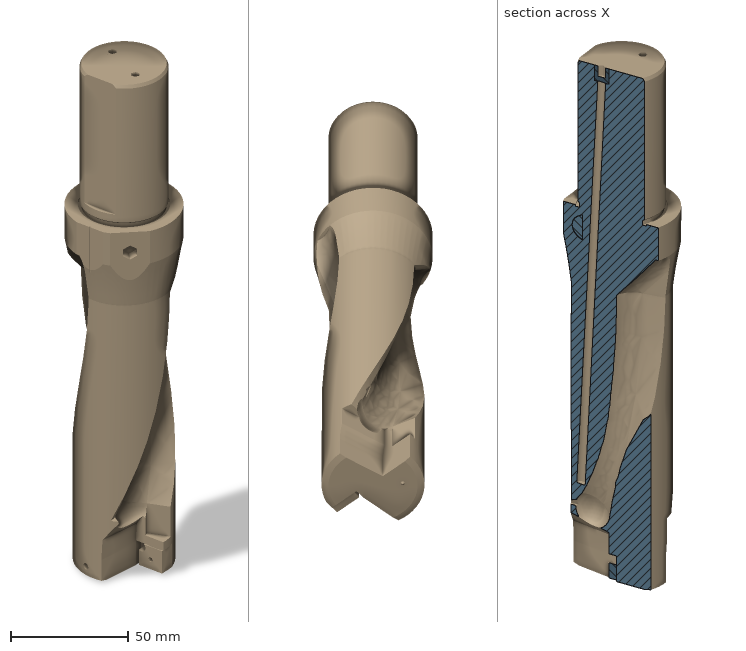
import cadquery as cq
import math

TOTAL_LENGTH = 246.5

SHANK_RADIUS = 19.0
SHANK_BOTTOM_Z = 178.7
SHANK_CHAMFER_WIDTH = 0.7
SHANK_CHAMFER_HEIGHT = 1.5
SHANK_FLAT_DISTANCE = 17.0
SHANK_FLAT_BOTTOM_Z = 182.5

NECK_RADIUS = 18.2
NECK_GROOVE_RADIUS = 19.7
NECK_GROOVE_DEPTH = 0.7

COLLAR_RADIUS = 25.5
COLLAR_TOP_Z = 176.8
COLLAR_BOTTOM_Z = 160.7
COLLAR_FRONT_FLAT_DISTANCE = 24.5
COLLAR_PLUG_FLAT_DISTANCE = 24.0
COLLAR_PLUG_ANGLE = -47.0
CONE_MID_RADIUS = 23.5

MARK_WIDTH = 0.5
MARK_DEPTH = 0.5
MARK_BOTTOM_Z = 154.0

BODY_RADIUS = 22.0
BODY_TOP_Z = 139.3
END_FACE_Z = 0.7
END_FACE_RADIUS = 19.0
END_RIM_Z = 1.5
PIP_X, PIP_Y = -10.5, -7.1
PIP_RADIUS = 1.0

FLUTE_TOP_Z = 138.5
FLUTE_FLOOR_EDGE_X = -18.2
FLUTE_WALL_X = -3.0
FLUTE_CORNER_Y = -11.3
FLUTE_CORNER_RADIUS = 10.4
FLUTE_RIM_Y = -1.5
FLUTE_WALL_RIM_X = -2.5
FLUTE_TWIST = 78.0
FLUTE_TWIST_POWER = 1.7
FLUTE_BALL_Z = 32.0
FLUTE_SECTIONS = 12
FLUTE_LEDGE_Z = 17.3
RUNOUT_SLOPE = 0.9
SECOND_FLUTE_ANGLE = 186.0
CLEAR = 32.0

RAKE_Y = -1.2
GULLET_TOP_Z = 21.7
GULLET_ARC_Z = 11.8
OUTER_GULLET_WALL_X = 7.5
OUTER_GULLET_DRAFT = 9.0
OUTER_GULLET_OVERHANG = 0.5
OUTER_GULLET_RAMP = 7.0
INNER_GULLET_WALL_X = 6.7
INNER_GULLET_DRAFT = 17.0
INNER_GULLET_OVERHANG = 1.0
INNER_GULLET_RAMP = 0.0

INSERT_LEFT_X, INSERT_RIGHT_X = 8.9, 21.2
INSERT_BOTTOM_Z, INSERT_TOP_Z = 1.5, 12.5
INSERT_THICKNESS = 3.7
SEAT_LEFT_X = 7.1
SEAT_TOP_Z = 13.0
SEAT_CLEARANCE_DEPTH = 12.3
RELIEF_X, RELIEF_Z, RELIEF_RADIUS = 10.0, 10.8, 2.2
SCREW_X, SCREW_Z = 15.0, 6.2
SCREW_HEAD_RADIUS = 3.0
SCREW_HEAD_LENGTH = 2.2
SCREW_STEM_RADIUS = 1.7
SCREW_LENGTH = 9.9
SCREW_SOCKET_RADIUS = 1.2
SCREW_SOCKET_DEPTH = 1.5

SIDE_HOLE_X, SIDE_HOLE_Z = -4.2, 5.7
SIDE_HOLE_RADIUS = 1.5
SIDE_HOLE_DEPTH = 7.5

COOLANT_RADIUS = 2.0
COOLANT_OUTLET = (-8.9, 15.0, 43.1)
SHANK_PLUG_X, SHANK_PLUG_Y = -9.5, 4.7
SHANK_PLUG_RADIUS = 3.5
SHANK_PLUG_LENGTH = 7.5
SHANK_PLUG_SOCKET = 2.0

COLLAR_PLUG_Z = 166.7
COLLAR_PLUG_RADIUS = 6.7
COLLAR_PLUG_LENGTH = 7.5
COLLAR_PLUG_SOCKET = 3.5
SOCKET_DEPTH = 5.0


def box(x0, x1, y0, y1, z0, z1):
    """Axis-aligned block between two opposite corners."""
    return cq.Workplane("XY").box(x1 - x0, y1 - y0, z1 - z0, centered=False).translate((x0, y0, z0))


def rod(radius, length, start, direction):
    """Cylinder that starts at a point and runs along a direction."""
    return cq.Workplane(cq.Solid.makeCylinder(radius, length, cq.Vector(*start), cq.Vector(*direction)))


def turned(shape, angle):
    """Shape rotated about the drill axis."""
    return shape.rotate((0, 0, 0), (0, 0, 1), angle)


def socket_plug(plane, radius, length, socket_radius):
    """Plug that fills a hole below the plane's origin, with a hexagon socket in its outer end."""
    plug = cq.Workplane(plane).circle(radius).extrude(-length)
    socket = cq.Workplane(plane).polygon(6, 2 * socket_radius).extrude(-SOCKET_DEPTH)
    return plug.cut(socket)


def turned_blank():
    cone_mid_z = (COLLAR_BOTTOM_Z + BODY_TOP_Z) / 2
    groove_z = COLLAR_TOP_Z - NECK_GROOVE_DEPTH
    return (
        cq.Workplane("XZ")
        .moveTo(0, END_FACE_Z)
        .lineTo(END_FACE_RADIUS, END_FACE_Z)
        .lineTo(BODY_RADIUS, END_RIM_Z)
        .lineTo(BODY_RADIUS, BODY_TOP_Z)
        .threePointArc((CONE_MID_RADIUS, cone_mid_z), (COLLAR_RADIUS, COLLAR_BOTTOM_Z))
        .lineTo(COLLAR_RADIUS, COLLAR_TOP_Z)
        .lineTo(NECK_GROOVE_RADIUS, COLLAR_TOP_Z)
        .lineTo(NECK_GROOVE_RADIUS, groove_z)
        .lineTo(NECK_RADIUS, groove_z)
        .lineTo(NECK_RADIUS, SHANK_BOTTOM_Z - SHANK_CHAMFER_WIDTH)
        .lineTo(SHANK_RADIUS, SHANK_BOTTOM_Z)
        .lineTo(SHANK_RADIUS, TOTAL_LENGTH - SHANK_CHAMFER_HEIGHT)
        .lineTo(SHANK_RADIUS - SHANK_CHAMFER_WIDTH, TOTAL_LENGTH)
        .lineTo(0, TOTAL_LENGTH)
        .close()
        .revolve(360, (0, 0, 0), (0, 1, 0))
    )


def end_pip():
    """Small cone that forms the lowest point of the drill."""
    cone = cq.Solid.makeCone(0, PIP_RADIUS, END_FACE_Z, cq.Vector(PIP_X, PIP_Y, 0))
    return cq.Workplane(cone)


def flats():
    shank_flat = box(-CLEAR, CLEAR, -CLEAR, -SHANK_FLAT_DISTANCE, SHANK_FLAT_BOTTOM_Z, TOTAL_LENGTH)
    front_flat = box(-CLEAR, CLEAR, -CLEAR, -COLLAR_FRONT_FLAT_DISTANCE, BODY_TOP_Z, COLLAR_TOP_Z)
    plug_flat = box(COLLAR_PLUG_FLAT_DISTANCE, CLEAR, -CLEAR, CLEAR, BODY_TOP_Z, COLLAR_TOP_Z)
    return shank_flat.union(front_flat).union(turned(plug_flat, COLLAR_PLUG_ANGLE))


def index_mark():
    mark_y = MARK_DEPTH - COLLAR_FRONT_FLAT_DISTANCE
    return box(-MARK_WIDTH / 2, MARK_WIDTH / 2, -CLEAR, mark_y, MARK_BOTTOM_Z, COLLAR_TOP_Z)


FLUTE_CORNER_X = FLUTE_WALL_X - FLUTE_CORNER_RADIUS
FLUTE_FLOOR_EDGE_Y = FLUTE_CORNER_Y + math.sqrt(
    FLUTE_CORNER_RADIUS**2 - (FLUTE_FLOOR_EDGE_X - FLUTE_CORNER_X) ** 2
)


def flute_outline(z):
    """Open-sided flute section: rim, round floor and wall, closed outside the body."""
    diagonal = FLUTE_CORNER_RADIUS * math.sqrt(0.5)
    return (
        cq.Workplane("XY", origin=(0, 0, z))
        .moveTo(-CLEAR, FLUTE_RIM_Y)
        .lineTo(-BODY_RADIUS, FLUTE_RIM_Y)
        .lineTo(FLUTE_FLOOR_EDGE_X, FLUTE_FLOOR_EDGE_Y)
        .threePointArc(
            (FLUTE_CORNER_X + diagonal, FLUTE_CORNER_Y + diagonal),
            (FLUTE_WALL_X, FLUTE_CORNER_Y),
        )
        .lineTo(FLUTE_WALL_RIM_X, -BODY_RADIUS)
        .lineTo(FLUTE_WALL_RIM_X, -CLEAR)
        .lineTo(-CLEAR, -CLEAR)
        .close()
    )


def twisted_flute():
    """Flute whose twist grows steadily faster from the top of the body to the ball end."""
    sections = []
    for i in range(FLUTE_SECTIONS + 1):
        depth = i / FLUTE_SECTIONS
        z = FLUTE_TOP_Z - depth * (FLUTE_TOP_Z - FLUTE_BALL_Z)
        angle = -FLUTE_TWIST * depth**FLUTE_TWIST_POWER
        sections.append(turned(flute_outline(z).val(), angle))
    return cq.Workplane(cq.Solid.makeLoft(sections))


def flute_runout():
    """Upper end of the flute, climbing outward through the cone."""
    rise = COLLAR_BOTTOM_Z - FLUTE_TOP_Z
    climb = cq.Vector(0, -RUNOUT_SLOPE * rise, rise)
    return cq.Workplane(cq.Solid.extrudeLinear(flute_outline(FLUTE_TOP_Z).val(), [], climb))


def flute_lower_end():
    """Ball end of the flute and the straight stretch of its wall down to the ledge."""
    ball = cq.Workplane("XY").sphere(FLUTE_CORNER_RADIUS)
    ball = ball.translate((FLUTE_CORNER_X, FLUTE_CORNER_Y, FLUTE_BALL_Z))
    wall = (
        cq.Workplane("XY", origin=(0, 0, FLUTE_LEDGE_Z))
        .moveTo(FLUTE_CORNER_X, FLUTE_CORNER_Y)
        .lineTo(FLUTE_WALL_X, FLUTE_CORNER_Y)
        .lineTo(FLUTE_WALL_RIM_X, -BODY_RADIUS)
        .lineTo(FLUTE_WALL_RIM_X, -CLEAR)
        .lineTo(FLUTE_CORNER_X, -CLEAR)
        .close()
        .extrude(FLUTE_BALL_Z - FLUTE_LEDGE_Z)
    )
    return turned(ball.union(wall), -FLUTE_TWIST)


def gullet(wall_x, draft, overhang, ramp):
    """Chip space in the +X, -Y quarter: drafted wall, overhanging top with a ramp, and flat rake face."""
    arc_height = GULLET_TOP_Z - GULLET_ARC_Z
    block = (
        cq.Workplane("XZ")
        .moveTo(wall_x, 0)
        .lineTo(wall_x, GULLET_ARC_Z)
        .threePointArc(
            (wall_x + overhang / 4, GULLET_ARC_Z + arc_height / 2),
            (wall_x + overhang, GULLET_TOP_Z),
        )
        .lineTo(wall_x + overhang + ramp, FLUTE_BALL_Z)
        .lineTo(CLEAR, FLUTE_BALL_Z)
        .lineTo(CLEAR, 0)
        .close()
        .extrude(CLEAR, both=True)
    )
    quarter = box(0, CLEAR, -CLEAR, RAKE_Y, 0, FLUTE_BALL_Z)
    return turned(block, -draft).intersect(quarter)


def corner_relief():
    """Round relief where the insert's inner corner meets its seat."""
    return rod(RELIEF_RADIUS, INSERT_THICKNESS, (RELIEF_X, RAKE_Y, RELIEF_Z), (0, 1, 0))


def insert_seat():
    seat_back_y = RAKE_Y + INSERT_THICKNESS
    pocket = box(SEAT_LEFT_X, CLEAR, RAKE_Y, seat_back_y, 0, SEAT_TOP_Z)
    outer_clearance = box(
        INSERT_RIGHT_X, CLEAR, RAKE_Y, RAKE_Y + SEAT_CLEARANCE_DEPTH, 0, SEAT_TOP_Z
    )
    return pocket.union(outer_clearance)


def screw_solid():
    """Insert screw without its socket."""
    start = (SCREW_X, RAKE_Y, SCREW_Z)
    head = rod(SCREW_HEAD_RADIUS, SCREW_HEAD_LENGTH, start, (0, 1, 0))
    stem = rod(SCREW_STEM_RADIUS, SCREW_LENGTH, start, (0, 1, 0))
    return head.union(stem)


def side_hole():
    length = CLEAR - BODY_RADIUS + SIDE_HOLE_DEPTH
    return rod(SIDE_HOLE_RADIUS, length, (SIDE_HOLE_X, -CLEAR, SIDE_HOLE_Z), (0, 1, 0))


def coolant_line():
    """Plug hole in the shank's top and the slanted channel from it to the flute."""
    mouth = (SHANK_PLUG_X, SHANK_PLUG_Y, TOTAL_LENGTH)
    plug_hole = rod(SHANK_PLUG_RADIUS, SHANK_PLUG_LENGTH, mouth, (0, 0, -1))
    start = cq.Vector(SHANK_PLUG_X, SHANK_PLUG_Y, TOTAL_LENGTH - SHANK_PLUG_LENGTH)
    run = cq.Vector(*COOLANT_OUTLET) - start
    return plug_hole.union(rod(COOLANT_RADIUS, run.Length, start.toTuple(), run.toTuple()))


def collar_plug_plane():
    angle = math.radians(COLLAR_PLUG_ANGLE)
    outward = (math.cos(angle), math.sin(angle), 0)
    origin = (
        COLLAR_PLUG_FLAT_DISTANCE * outward[0],
        COLLAR_PLUG_FLAT_DISTANCE * outward[1],
        COLLAR_PLUG_Z,
    )
    return cq.Plane(origin=origin, xDir=(0, 0, 1), normal=outward)


def make_body():
    body = turned_blank().union(end_pip()).cut(flats()).cut(index_mark())
    for angle in (0, SECOND_FLUTE_ANGLE):
        for cutter in (twisted_flute(), flute_runout(), flute_lower_end()):
            body = body.cut(turned(cutter, angle))
    for angle in (0, 180):
        body = body.cut(turned(coolant_line(), angle))
    outer_gullet = gullet(
        OUTER_GULLET_WALL_X, OUTER_GULLET_DRAFT, OUTER_GULLET_OVERHANG, OUTER_GULLET_RAMP
    )
    inner_gullet = gullet(
        INNER_GULLET_WALL_X, INNER_GULLET_DRAFT, INNER_GULLET_OVERHANG, INNER_GULLET_RAMP
    )
    body = body.cut(outer_gullet).cut(turned(inner_gullet, 180))
    body = body.cut(insert_seat()).cut(screw_solid()).cut(side_hole())
    collar_hole = cq.Workplane(collar_plug_plane()).circle(COLLAR_PLUG_RADIUS).extrude(-COLLAR_PLUG_LENGTH)
    return body.cut(collar_hole)


def make_insert():
    plate = box(
        INSERT_LEFT_X, INSERT_RIGHT_X, RAKE_Y, RAKE_Y + INSERT_THICKNESS, INSERT_BOTTOM_Z, INSERT_TOP_Z
    )
    return plate.cut(corner_relief()).cut(screw_solid())


def make_insert_screw():
    plane = cq.Plane(origin=(SCREW_X, RAKE_Y, SCREW_Z), xDir=(1, 0, 0), normal=(0, -1, 0))
    socket = cq.Workplane(plane).polygon(6, 2 * SCREW_SOCKET_RADIUS).extrude(-SCREW_SOCKET_DEPTH)
    return screw_solid().cut(socket)


def make_shank_plug(angle):
    plane = cq.Plane(origin=(SHANK_PLUG_X, SHANK_PLUG_Y, TOTAL_LENGTH))
    return turned(socket_plug(plane, SHANK_PLUG_RADIUS, SHANK_PLUG_LENGTH, SHANK_PLUG_SOCKET), angle)


def make_collar_plug():
    return socket_plug(collar_plug_plane(), COLLAR_PLUG_RADIUS, COLLAR_PLUG_LENGTH, COLLAR_PLUG_SOCKET)


drill_body = make_body()
insert = make_insert()
insert_screw = make_insert_screw()
collar_plug = make_collar_plug()
shank_plugs = [make_shank_plug(angle) for angle in (0, 180)]

result = cq.Compound.makeCompound(
    [
        drill_body.val(),
        insert.val(),
        insert_screw.val(),
        collar_plug.val(),
        *[plug.val() for plug in shank_plugs],
    ]
)